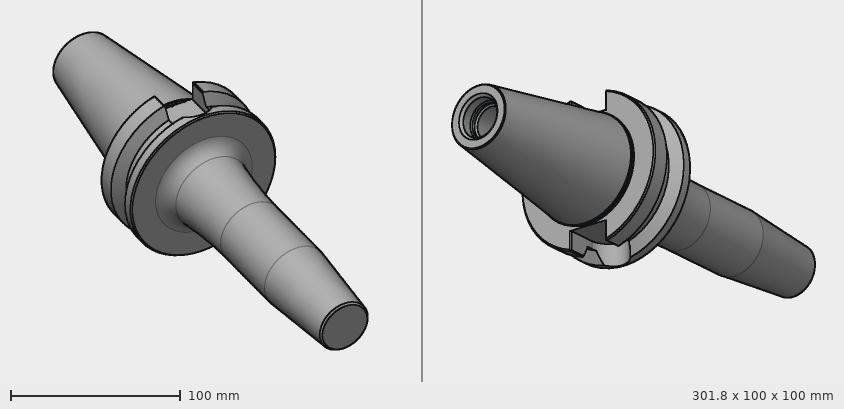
import cadquery as cq
import math

total_length = 301.8

taper_length = 101.0
gauge_radius = 35.0
taper_ratio = 7 / 24
taper_small_radius = gauge_radius - taper_length * taper_ratio / 2
taper_end_chamfer = 0.5

collar_radius = 35.3
collar_end = 102.3
relief_start = 103.2
relief_radius = 34.7

flange_start = 104.7
flange_end = 139.7
flange_diameter = 100.0
flange_radius = flange_diameter / 2
flange_chamfer = 1.0
groove_radius = 42.3
groove_center = 124.5
groove_floor_width = 7.2
groove_flank_angle = 30.0

neck_start_radius = 33.2
neck_joint = 148.8
neck_joint_radius = 24.7
shank_start = 194.5
shank_end = 244.8
shank_diameter = 42.5
shank_radius = shank_diameter / 2
nose_radius = 16.5
nose_chamfer = 1.2

slot_width = 25.7
slot_floor = 35.3
slot_end = 137.3
slot_chamfer = 1.0

mouth_radius = 14.5
counterbore_radius = 12.7
counterbore_depth = 8.5
step_radius = 11.8
step_depth = 11.5
bore_radius = 10.5
bore_depth = 45.3
drill_tip_angle = 118.0


def turned_body():
    """Revolve the outer half profile about the X axis."""
    groove_half_floor = groove_floor_width / 2
    groove_half_top = groove_half_floor + (flange_radius - groove_radius) * math.tan(
        math.radians(groove_flank_angle)
    )
    run = shank_start - neck_joint
    rise = neck_joint_radius - shank_radius
    neck_arc_radius = (run**2 + rise**2) / (2 * rise)
    joint_angle = math.asin(run / neck_arc_radius)
    half_angle = joint_angle / 2
    neck_mid = (
        shank_start - neck_arc_radius * math.sin(half_angle),
        shank_radius + neck_arc_radius * (1 - math.cos(half_angle)),
    )
    joint_to_root = (-math.cos(joint_angle), math.sin(joint_angle))

    profile = (
        cq.Workplane("XY")
        .lineTo(0, taper_small_radius - taper_end_chamfer)
        .lineTo(taper_end_chamfer, taper_small_radius)
        .lineTo(taper_length, gauge_radius)
        .lineTo(taper_length, collar_radius)
        .lineTo(collar_end, collar_radius)
        .lineTo(relief_start, relief_radius)
        .lineTo(flange_start, relief_radius)
        .lineTo(flange_start, flange_radius - flange_chamfer)
        .lineTo(flange_start + flange_chamfer, flange_radius)
        .lineTo(groove_center - groove_half_top, flange_radius)
        .lineTo(groove_center - groove_half_floor, groove_radius)
        .lineTo(groove_center + groove_half_floor, groove_radius)
        .lineTo(groove_center + groove_half_top, flange_radius)
        .lineTo(flange_end - flange_chamfer, flange_radius)
        .lineTo(flange_end, flange_radius - flange_chamfer)
    )
    root_fillet = cq.Edge.makeTangentArc(
        cq.Vector(neck_joint, neck_joint_radius),
        cq.Vector(*joint_to_root),
        cq.Vector(flange_end, neck_start_radius),
    )
    root_mid = root_fillet.positionAt(0.5)
    profile = (
        profile.lineTo(flange_end, neck_start_radius)
        .threePointArc((root_mid.x, root_mid.y), (neck_joint, neck_joint_radius))
        .threePointArc(neck_mid, (shank_start, shank_radius))
        .lineTo(shank_end, shank_radius)
        .lineTo(total_length - nose_chamfer, nose_radius)
        .lineTo(total_length, nose_radius - nose_chamfer)
        .lineTo(total_length, 0)
        .close()
    )
    return profile.revolve(360, (0, 0, 0), (1, 0, 0))


def stepped_bore():
    """Countersunk counterbore, intermediate step, drilled hole and conical drill tip."""
    mouth_chamfer = mouth_radius - counterbore_radius
    counterbore_chamfer = counterbore_radius - step_radius
    step_chamfer = step_radius - bore_radius
    tip_length = bore_radius / math.tan(math.radians(drill_tip_angle / 2))
    return (
        cq.Workplane("XY")
        .lineTo(0, mouth_radius)
        .lineTo(mouth_chamfer, counterbore_radius)
        .lineTo(counterbore_depth, counterbore_radius)
        .lineTo(counterbore_depth + counterbore_chamfer, step_radius)
        .lineTo(step_depth, step_radius)
        .lineTo(step_depth + step_chamfer, bore_radius)
        .lineTo(bore_depth, bore_radius)
        .lineTo(bore_depth + tip_length, 0)
        .close()
        .revolve(360, (0, 0, 0), (1, 0, 0))
    )


def drive_slot():
    """Cutter for the upper slot, with its front corners and top edges flared as chamfers."""
    half_width = slot_width / 2
    arc_center = slot_end - half_width
    height = flange_radius - slot_floor
    cutter = (
        cq.Workplane("XY", origin=(0, 0, slot_floor))
        .moveTo(flange_start, half_width + slot_chamfer)
        .lineTo(flange_start + slot_chamfer, half_width)
        .lineTo(arc_center, half_width)
        .threePointArc((slot_end, 0), (arc_center, -half_width))
        .lineTo(flange_start + slot_chamfer, -half_width)
        .lineTo(flange_start, -half_width - slot_chamfer)
        .close()
        .extrude(height)
    )
    rim_height = math.sqrt(flange_radius**2 - half_width**2)
    edge_flare = (
        cq.Workplane("YZ", origin=(flange_start, 0, 0))
        .moveTo(-half_width, rim_height - slot_chamfer)
        .lineTo(half_width, rim_height - slot_chamfer)
        .lineTo(half_width + 2 * slot_chamfer, rim_height + slot_chamfer)
        .lineTo(-half_width - 2 * slot_chamfer, rim_height + slot_chamfer)
        .close()
        .extrude(groove_center - flange_start)
    )
    return cutter.union(edge_flare)


result = turned_body().cut(stepped_bore())
for slot_angle in (0, 180):
    result = result.cut(drive_slot().rotate((0, 0, 0), (1, 0, 0), slot_angle))